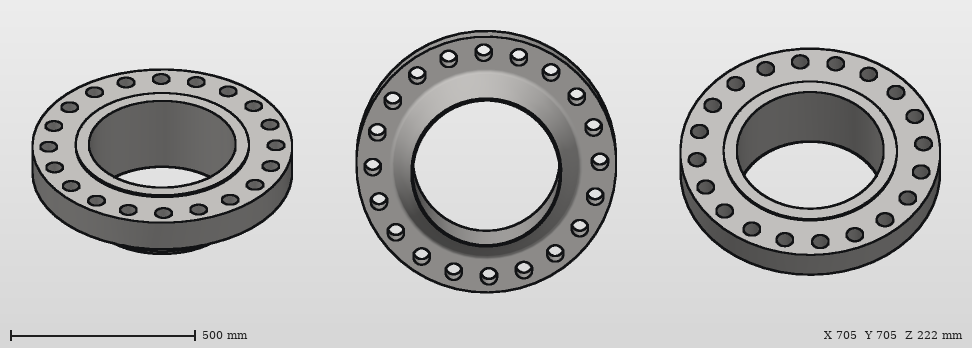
import cadquery as cq

flange_diameter = 705.0
total_height = 222.0
flange_thickness = 89.0
raised_face_diameter = 470.0
raised_face_height = 6.0
bore_diameter = 398.0

hub_diameter = 507.5
hub_fillet_radius = 13.0
neck_diameter = 407.0
neck_height = 10.5
neck_chamfer = 2.0

bolt_count = 20
bolt_circle_diameter = 616.0
bolt_hole_diameter = 45.0

flange_top = total_height - raised_face_height
flange_bottom = flange_top - flange_thickness


def make_body():
    """Revolve the solid outline of the neck, hub, flange and raised face."""
    outline = (
        cq.Workplane("XZ")
        .moveTo(0, 0)
        .lineTo(neck_diameter / 2 - neck_chamfer, 0)
        .lineTo(neck_diameter / 2, neck_chamfer)
        .lineTo(neck_diameter / 2, neck_height)
        .lineTo(hub_diameter / 2, flange_bottom)
        .lineTo(flange_diameter / 2, flange_bottom)
        .lineTo(flange_diameter / 2, flange_top)
        .lineTo(raised_face_diameter / 2, flange_top)
        .lineTo(raised_face_diameter / 2, total_height)
        .lineTo(0, total_height)
        .close()
    )
    return outline.revolve(360, (0, 0, 0), (0, 1, 0))


def round_hub_root(body):
    """Fillet the inside corner where the hub meets the flange underside."""
    margin = 1.0
    root_zone = cq.selectors.BoxSelector(
        (-hub_diameter, -hub_diameter, flange_bottom - margin),
        (hub_diameter, hub_diameter, flange_bottom + margin),
        boundingbox=False,
    )
    root_edge = body.edges("%CIRCLE").edges(root_zone).edges(cq.selectors.RadiusNthSelector(0))
    return root_edge.fillet(hub_fillet_radius)


def make_bore():
    return cq.Workplane("XY").circle(bore_diameter / 2).extrude(total_height)


def make_bolt_holes():
    """Ring of through holes, the first one on the X axis."""
    return (
        cq.Workplane("XY")
        .workplane(offset=flange_bottom)
        .polarArray(bolt_circle_diameter / 2, 0, 360, bolt_count)
        .circle(bolt_hole_diameter / 2)
        .extrude(flange_thickness)
    )


result = round_hub_root(make_body()).cut(make_bore()).cut(make_bolt_holes())